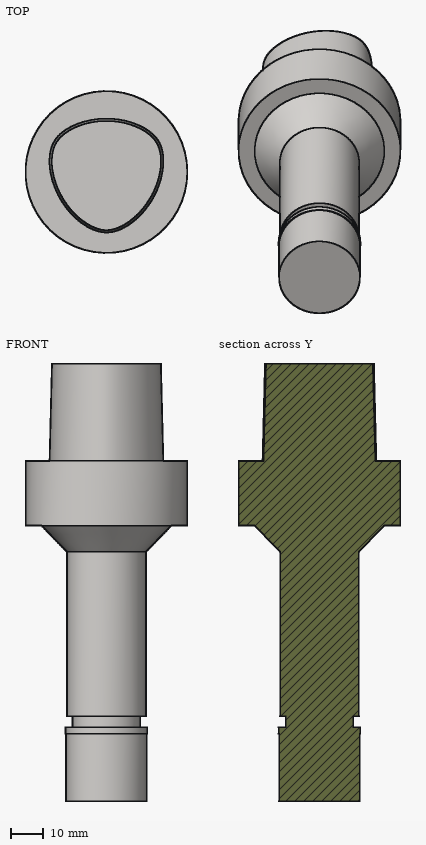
import cadquery as cq
import math

shank_width = 35.15
shank_length = 30.0
shank_taper = 1 / 20
lobe_height = 1.1
lobe_count = 3
lobe_direction = -math.pi / 2
points_per_lobe = 12

flange_diameter = 49.98
flange_height = 20.0
cone_top_diameter = 40.0
cone_height = 8.0
shaft_diameter = 24.5
groove_diameter = 21.0
groove_width = 3.3
ring_diameter = 25.3
ring_height = 2.0
pilot_diameter = 25.0
pilot_height = 20.9
body_length = 105.0

pilot_top = pilot_height - body_length
ring_top = pilot_top + ring_height
groove_top = ring_top + groove_width
cone_bottom = -flange_height - cone_height


def shank_point(angle, width):
    """Point where the tangent line is perpendicular to the given angle."""
    phase = lobe_count * (angle - lobe_direction)
    support = width / 2 + lobe_height * math.cos(phase)
    slope = -lobe_count * lobe_height * math.sin(phase)
    x = support * math.cos(angle) - slope * math.sin(angle)
    y = support * math.sin(angle) + slope * math.cos(angle)
    return (x, y)


def shank_section(height):
    """Closed three-lobed wire at a height above the flange face."""
    width = shank_width - shank_taper * height
    count = lobe_count * points_per_lobe
    points = [shank_point(2 * math.pi * i / count, width) for i in range(count)]
    section = cq.Workplane("XY").workplane(offset=height).spline(points, periodic=True).close()
    return section.val()


def make_shank():
    sections = [shank_section(0), shank_section(shank_length)]
    return cq.Workplane(cq.Solid.makeLoft(sections, True))


def cylinder(diameter, bottom, top):
    return cq.Workplane("XY").workplane(offset=bottom).circle(diameter / 2).extrude(top - bottom)


def make_cone():
    """Transition from the flange underside down to the shaft."""
    return (
        cq.Workplane("XY")
        .workplane(offset=-flange_height)
        .circle(cone_top_diameter / 2)
        .workplane(offset=-cone_height)
        .circle(shaft_diameter / 2)
        .loft(ruled=True)
    )


flange = cylinder(flange_diameter, -flange_height, 0)
shaft = cylinder(shaft_diameter, groove_top, cone_bottom)
groove = cylinder(groove_diameter, ring_top, groove_top)
ring = cylinder(ring_diameter, pilot_top, ring_top)
pilot = cylinder(pilot_diameter, -body_length, pilot_top)

result = make_shank()
for section in (flange, make_cone(), shaft, groove, ring, pilot):
    result = result.union(section)